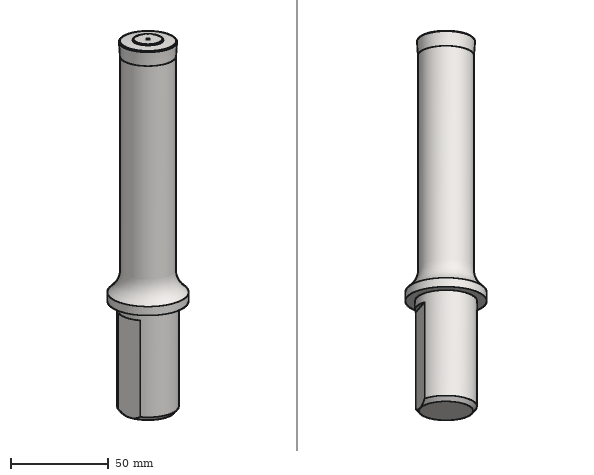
import cadquery as cq
import math

total_height = 205.0
head_bottom = 195.5
flange_bottom = 60.5
flange_rim_height = 5.0

drive_radius = 32.0 / 2
drive_chamfer_width = 2.0
drive_chamfer_height = 2.5
flange_radius = 42.0 / 2
stem_radius = 29.0 / 2
neck_arc_radius = 14.0
neck_angle = math.radians(45)
flange_cone_height = 2.5
flat_distance = 14.0
flat_top = 55.5

head_radius = 30.1 / 2
head_base_radius = 29.1 / 2
head_rim_width = 0.6
head_rim_height = 0.6
boss_radius = 16.0 / 2
boss_edge_width = 0.6
boss_height = 0.6
face_rise = 0.5
center_hole_radius = 1.8 / 2
center_hole_depth = 2.0


def make_shank():
    """Turned shank with a drive flat on its -Y side."""
    rim_top = flange_bottom + flange_rim_height
    neck_radius = stem_radius + neck_arc_radius * (1 - math.cos(neck_angle))
    neck_bottom = rim_top + flange_cone_height
    neck_top = neck_bottom + neck_arc_radius * math.sin(neck_angle)
    arc_middle = (
        stem_radius + neck_arc_radius * (1 - math.cos(neck_angle / 2)),
        neck_top - neck_arc_radius * math.sin(neck_angle / 2),
    )
    turned = (
        cq.Workplane("XZ")
        .lineTo(drive_radius - drive_chamfer_width, 0)
        .lineTo(drive_radius, drive_chamfer_height)
        .lineTo(drive_radius, flange_bottom)
        .lineTo(flange_radius, flange_bottom)
        .lineTo(flange_radius, rim_top)
        .lineTo(neck_radius, neck_bottom)
        .threePointArc(arc_middle, (stem_radius, neck_top))
        .lineTo(stem_radius, head_bottom)
        .lineTo(0, head_bottom)
        .close()
        .revolve(360, (0, 0, 0), (0, 1, 0))
    )
    flat_cutter = cq.Workplane("XY").box(
        2 * drive_radius, drive_radius, flat_top, centered=(True, False, False)
    ).translate((0, -flat_distance - drive_radius, 0))
    return turned.cut(flat_cutter)


def make_head():
    """Tapered round head with a chamfered rim, a shallow conical face, a low boss and a center hole."""
    boss_bottom = total_height - boss_height
    face_edge = boss_bottom - face_rise
    rim_level = face_edge - head_rim_height
    turned = (
        cq.Workplane("XZ")
        .moveTo(0, head_bottom)
        .lineTo(head_base_radius, head_bottom)
        .lineTo(head_radius, rim_level)
        .lineTo(head_radius - head_rim_width, face_edge)
        .lineTo(boss_radius, boss_bottom)
        .lineTo(boss_radius - boss_edge_width, total_height)
        .lineTo(0, total_height)
        .close()
        .revolve(360, (0, 0, 0), (0, 1, 0))
    )
    center_hole = (
        cq.Workplane("XY", origin=(0, 0, total_height))
        .circle(center_hole_radius)
        .extrude(-center_hole_depth)
    )
    return turned.cut(center_hole)


shank = make_shank()
head = make_head()
result = cq.Compound.makeCompound([shank.val(), head.val()])